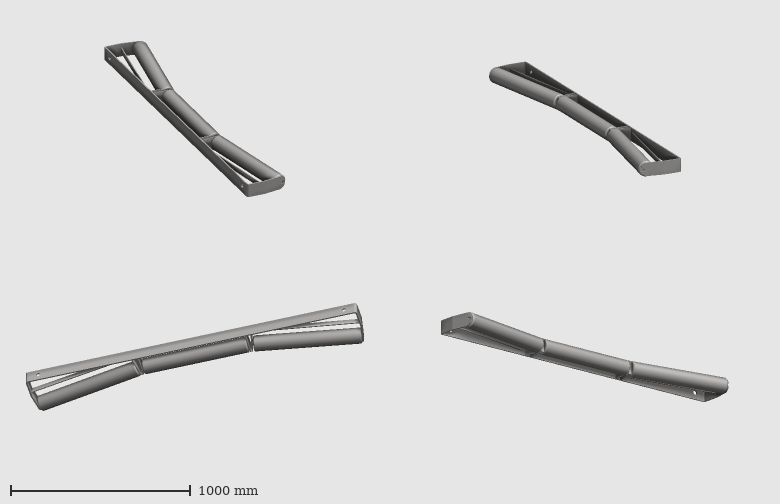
import cadquery as cq
import math


HALF_LENGTH = 955.0
PLATE = 8.0
BAR_WIDTH = 78.0
CORNER_RADIUS = 13.0
LEG_BEND_HEIGHT = 109.0
LEG_END_DROP = 5.0
TROUGH_ANGLE = 10.0
MOUNT_HOLE_DIAMETER = 25.0
MOUNT_HOLE_X = 882.0

ROLLER_DIAMETER = 90.0
ROLLER_HALF_LENGTH = 302.0
ROLLER_CHAMFER = 5.0
LEG_CLEARANCE = 2.0
BRACKET_CLEARANCE = 4.8
SHAFT_HEIGHT = 27.0
SHAFT_FLATS = 17.0
CENTER_ROLLER_Y = 100.0
SIDE_ROLLER_Y = 155.0

BRACKET_PLATE = 4.8
BRACKET_TOP = 125.0
BRACE_PLATE = 5.0
BRACE_ANGLE = 9.3
BRACE_TOP = 107.0
BRACE_WIDTH = 30.0

LEG_NEAR = ROLLER_HALF_LENGTH + LEG_CLEARANCE
LEG_FAR = LEG_NEAR + PLATE
BRACKET_NEAR = ROLLER_HALF_LENGTH + BRACKET_CLEARANCE
BRACKET_FAR = BRACKET_NEAR + BRACKET_PLATE

SIN_TROUGH = math.sin(math.radians(TROUGH_ANGLE))
COS_TROUGH = math.cos(math.radians(TROUGH_ANGLE))
TAN_TROUGH = SIN_TROUGH / COS_TROUGH

SIDE_ROLLER_X = HALF_LENGTH - (
    LEG_FAR + (SIDE_ROLLER_Y - LEG_BEND_HEIGHT) * SIN_TROUGH
) / COS_TROUGH


def side_roller_point(along, above=0):
    """Point given along and above the right-hand roller axis, from the roller middle."""
    return (
        SIDE_ROLLER_X + along * COS_TROUGH - above * SIN_TROUGH,
        SIDE_ROLLER_Y + along * SIN_TROUGH + above * COS_TROUGH,
    )


def x_on_square_plane(distance, y):
    """X at height y on the plane square to the right-hand axis at that distance."""
    plane_x, plane_y = side_roller_point(distance)
    return plane_x - (y - plane_y) * TAN_TROUGH


def extrude_profile(points, width):
    """Closed XY outline extruded evenly to both sides of Z = 0."""
    return cq.Workplane("XY").polyline(points).close().extrude(width / 2, both=True)


def for_side(body, side):
    """Leave a right-hand body as it is, or mirror it to the left."""
    return body if side > 0 else body.mirror("YZ")


def make_roller(x, y, angle):
    """Chamfered roller with a flatted shaft end on each side."""
    shell = (
        cq.Workplane("YZ")
        .workplane(offset=-ROLLER_HALF_LENGTH)
        .circle(ROLLER_DIAMETER / 2)
        .extrude(2 * ROLLER_HALF_LENGTH)
        .faces("<X or >X")
        .chamfer(ROLLER_CHAMFER)
    )
    shaft = (
        cq.Workplane("YZ")
        .slot2D(SHAFT_HEIGHT, SHAFT_FLATS)
        .extrude(LEG_FAR, both=True)
    )
    roller = shell.union(shaft)
    return roller.rotate((0, 0, 0), (0, 0, 1), angle).translate((x, y, 0))


def make_bracket(side):
    """Bent plate with one upright leg and one leg square to the side roller."""
    web_bottom = BRACKET_TOP - BRACKET_PLATE
    outline = [
        (BRACKET_NEAR, PLATE),
        (BRACKET_NEAR, BRACKET_TOP),
        (x_on_square_plane(-BRACKET_NEAR, BRACKET_TOP), BRACKET_TOP),
        (x_on_square_plane(-BRACKET_NEAR, PLATE), PLATE),
        (x_on_square_plane(-BRACKET_FAR, PLATE), PLATE),
        (x_on_square_plane(-BRACKET_FAR, web_bottom), web_bottom),
        (BRACKET_FAR, web_bottom),
        (BRACKET_FAR, PLATE),
    ]
    return for_side(extrude_profile(outline, BAR_WIDTH), side)


def make_brace(side):
    """Sloping strip from the outer face of a leg down onto the base."""
    slope = math.tan(math.radians(BRACE_ANGLE))
    bottom_at_leg = BRACE_TOP - BRACE_PLATE / math.cos(math.radians(BRACE_ANGLE))
    outline = [
        (HALF_LENGTH, BRACE_TOP),
        (HALF_LENGTH, bottom_at_leg),
        (HALF_LENGTH - (bottom_at_leg - PLATE) / slope, PLATE),
        (HALF_LENGTH - (BRACE_TOP - PLATE) / slope, PLATE),
    ]
    return for_side(extrude_profile(outline, BRACE_WIDTH), side)


def place_on_leg(plate, side):
    """Carry a plate from the YZ plane into the tilted leg, its origin on the roller axis."""
    tilted = plate.translate((LEG_NEAR, 0, 0)).rotate((0, 0, 0), (0, 0, 1), TROUGH_ANGLE)
    return for_side(tilted.translate((SIDE_ROLLER_X, SIDE_ROLLER_Y, 0)), side)


def make_leg_end(side):
    """Round end of a tilted leg, centred a little below the roller axis."""
    end = cq.Workplane("YZ").center(-LEG_END_DROP, 0).circle(BAR_WIDTH / 2).extrude(PLATE)
    return place_on_leg(end, side)


def make_shaft_slot(side):
    """Cutter for the open slot above the shaft in a tilted leg."""
    slot = (
        cq.Workplane("YZ")
        .center(BAR_WIDTH / 2, 0)
        .rect(BAR_WIDTH, SHAFT_FLATS)
        .extrude(PLATE)
    )
    return place_on_leg(slot, side)


def make_frame():
    """Base bar with bent corners, tilted round-ended legs, slots and mounting holes."""
    inner_x = HALF_LENGTH - PLATE
    inner_bend = LEG_BEND_HEIGHT - PLATE * math.tan(math.radians(TROUGH_ANGLE / 2))
    right_outer = [
        (HALF_LENGTH, 0),
        (HALF_LENGTH, LEG_BEND_HEIGHT),
        side_roller_point(LEG_FAR, -LEG_END_DROP),
    ]
    right_inner = [
        side_roller_point(LEG_NEAR, -LEG_END_DROP),
        (inner_x, inner_bend),
        (inner_x, PLATE),
    ]
    right_half = right_outer + right_inner
    left_half = [(-x, y) for x, y in reversed(right_half)]
    frame = extrude_profile(right_half + left_half, BAR_WIDTH)
    for side in (-1, 1):
        outer_corner = cq.selectors.NearestToPointSelector((side * HALF_LENGTH, 0, 0))
        frame = frame.edges("|Z").edges(outer_corner).fillet(CORNER_RADIUS)
        inner_corner = cq.selectors.NearestToPointSelector((side * inner_x, PLATE, 0))
        frame = frame.edges("|Z").edges(inner_corner).fillet(CORNER_RADIUS - PLATE)
        frame = frame.union(make_leg_end(side)).cut(make_shaft_slot(side))
    holes = (
        cq.Workplane("XZ")
        .pushPoints([(-MOUNT_HOLE_X, 0), (MOUNT_HOLE_X, 0)])
        .circle(MOUNT_HOLE_DIAMETER / 2)
        .extrude(-PLATE)
    )
    return frame.cut(holes)


center_roller = make_roller(0, CENTER_ROLLER_Y, 0)
side_rollers = []
brackets = []
braces = []
frame = make_frame()
for side in (-1, 1):
    side_roller = make_roller(side * SIDE_ROLLER_X, SIDE_ROLLER_Y, side * TROUGH_ANGLE)
    brace = make_brace(side)
    frame = frame.cut(side_roller).cut(brace)
    brackets.append(make_bracket(side).cut(side_roller).cut(center_roller))
    side_rollers.append(side_roller)
    braces.append(brace)

bodies = [frame, center_roller, *side_rollers, *brackets, *braces]
result = cq.Compound.makeCompound([body.val() for body in bodies])